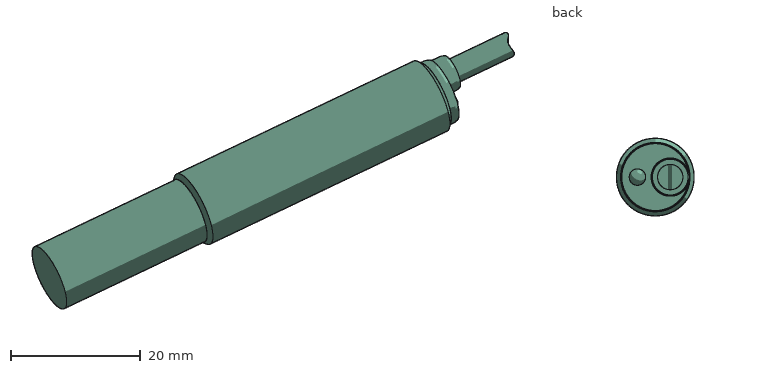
import cadquery as cq

NOSE_LENGTH = 25.0
CAP_START = 68.5
CAP_END = 70.0
BOSS_END = 73.0
CABLE_END = 83.5

BODY_DIAMETER = 12.0
NOSE_DIAMETER = 10.6
BODY_END_DIAMETER = 10.7
CAP_DIAMETER = 10.6
BODY_CHAMFER = (BODY_DIAMETER - BODY_END_DIAMETER) / 2
CAP_CHAMFER_LENGTH = 0.5
CAP_CHAMFER_INSET = 0.15

CABLE_X = -2.3
CABLE_DIAMETER = 3.9
BOSS_DIAMETER = 5.9
BOSS_TIP_DIAMETER = 5.8
BOSS_CHAMFER_LENGTH = 0.5
BOSS_CHAMFER_INSET = 0.15

BREAK_DEPTH = 0.45

LAMP_X = 2.75
LAMP_DIAMETER = 2.6
LAMP_HEIGHT = 1.0


def turned(profile, axis_x):
    """Revolve a closed (radius, y) outline about a line parallel to Y."""
    solid = profile.close().revolve(360, (0, 0, 0), (0, 1, 0))
    return solid.translate((axis_x, 0, 0))


def housing():
    nose_r = NOSE_DIAMETER / 2
    body_r = BODY_DIAMETER / 2
    body_end_r = BODY_END_DIAMETER / 2
    cap_r = CAP_DIAMETER / 2
    profile = cq.Workplane("XY").polyline([
        (0, 0),
        (nose_r, 0),
        (nose_r, NOSE_LENGTH),
        (body_end_r, NOSE_LENGTH),
        (body_r, NOSE_LENGTH + BODY_CHAMFER),
        (body_r, CAP_START - BODY_CHAMFER),
        (body_end_r, CAP_START),
        (cap_r, CAP_START),
        (cap_r, CAP_END - CAP_CHAMFER_LENGTH),
        (cap_r - CAP_CHAMFER_INSET, CAP_END),
        (0, CAP_END),
    ])
    return turned(profile, 0)


def cable_boss():
    base_r = BOSS_DIAMETER / 2
    tip_r = BOSS_TIP_DIAMETER / 2
    profile = cq.Workplane("XY").polyline([
        (0, CAP_START),
        (base_r, CAP_START),
        (base_r, CAP_END),
        (tip_r, BOSS_END - BOSS_CHAMFER_LENGTH),
        (tip_r - BOSS_CHAMFER_INSET, BOSS_END),
        (0, BOSS_END),
    ])
    return turned(profile, CABLE_X)


def cable():
    """Round cable whose end is cut to a convex and a concave arc side by side."""
    r = CABLE_DIAMETER / 2
    mid_y = CABLE_END - BREAK_DEPTH
    side_profile = (
        cq.Workplane("XY")
        .moveTo(-r, CAP_END)
        .lineTo(-r, mid_y)
        .threePointArc((-r / 2, CABLE_END), (0, mid_y))
        .threePointArc((r / 2, mid_y - BREAK_DEPTH), (r, mid_y))
        .lineTo(r, CAP_END)
        .close()
        .extrude(r, both=True)
    )
    rod = cq.Workplane("XZ").circle(r).extrude(-CABLE_END)
    return rod.intersect(side_profile).translate((CABLE_X, 0, 0))


def lamp():
    r = LAMP_DIAMETER / 2
    centre_y = CAP_END + LAMP_HEIGHT - r
    dome = cq.Workplane("XY").sphere(r)
    return dome.translate((LAMP_X, centre_y, 0))


result = housing().union(cable_boss()).union(cable()).union(lamp())